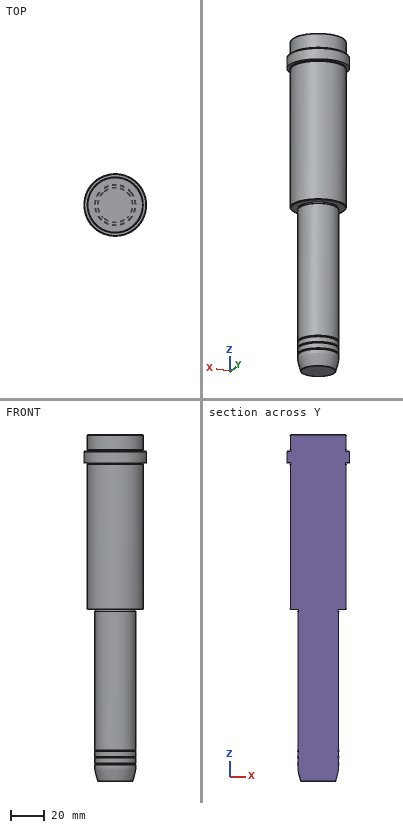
import cadquery as cq
import math

total_length = 210.0
sleeve_length = 106.0
sleeve_radius = 17.0
pin_radius = 12.5
sleeve_end_z = total_length - sleeve_length

collar_radius = 19.0
collar_top_z = total_length - 10.0
collar_height = 7.0
collar_bottom_z = collar_top_z - collar_height
collar_chamfer = 0.5

sleeve_chamfer = 0.5
head_chamfer = 0.5

neck_length = 1.0
neck_depth = 0.5

nose_height = 7.5
nose_end_radius = 10.6
nose_chamfer = 0.25
nose_bulge = 0.2

groove_width = 1.0
groove_depth = 0.4
lowest_groove_z = 10.5
groove_pitch = 4.0
pin_groove_count = 3


def cylinder(radius, bottom_z, top_z):
    return cq.Workplane("XY").workplane(offset=bottom_z).circle(radius).extrude(top_z - bottom_z)


def make_pin():
    """Pin with a relieved neck at the sleeve and a nose whose side is a shallow arc."""
    inset = pin_radius - nose_end_radius
    chord = math.hypot(inset, nose_height)
    arc_middle = (
        (pin_radius + nose_end_radius) / 2 + nose_bulge * nose_height / chord,
        nose_height / 2 - nose_bulge * inset / chord,
    )
    return (
        cq.Workplane("XZ")
        .lineTo(nose_end_radius, 0)
        .threePointArc(arc_middle, (pin_radius, nose_height))
        .lineTo(pin_radius, sleeve_end_z - neck_length)
        .lineTo(pin_radius - neck_depth, sleeve_end_z - neck_length)
        .lineTo(pin_radius - neck_depth, sleeve_end_z)
        .lineTo(0, sleeve_end_z)
        .close()
        .revolve(360, (0, 0, 0), (0, 1, 0))
        .faces("<Z")
        .chamfer(nose_chamfer)
    )


def make_sleeve():
    sleeve = cylinder(sleeve_radius, sleeve_end_z, total_length)
    sleeve = sleeve.faces("<Z").chamfer(sleeve_chamfer)
    return sleeve.faces(">Z").chamfer(head_chamfer)


def make_collar():
    collar = cylinder(collar_radius, collar_bottom_z, collar_top_z)
    return collar.faces(">Z").chamfer(collar_chamfer)


def groove_ring(shaft_radius, center_z):
    """Ring of triangular section that cuts a V groove into a shaft of the given radius."""
    return (
        cq.Workplane("XZ")
        .moveTo(shaft_radius - groove_depth, center_z)
        .lineTo(shaft_radius, center_z + groove_width / 2)
        .lineTo(shaft_radius, center_z - groove_width / 2)
        .close()
        .revolve(360, (0, 0, 0), (0, 1, 0))
    )


body = make_pin().union(make_sleeve())

for index in range(pin_groove_count):
    body = body.cut(groove_ring(pin_radius, lowest_groove_z + index * groove_pitch))

for undercut_z in (collar_top_z + groove_width / 2, collar_bottom_z - groove_width / 2):
    body = body.cut(groove_ring(sleeve_radius, undercut_z))

result = body.union(make_collar())